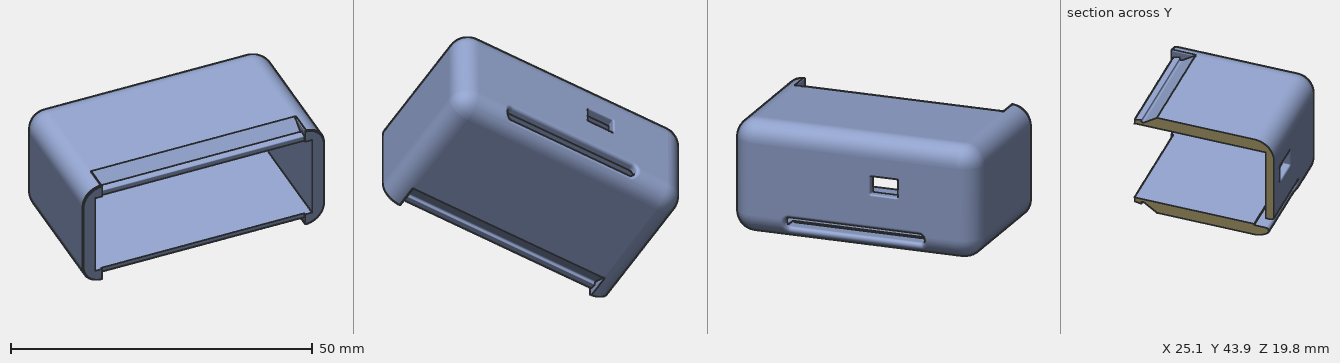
import cadquery as cq
import math

LENGTH_X = 25.1
WIDTH_Y = 43.85
HEIGHT_Z = 19.78
CORNER_RADIUS = 3.5
RIM_CHAMFER = 0.18

FRONT_WALL = 1.5
SIDE_WALL = 2.3

GROOVE_WIDTH_Y = 36.85
GROOVE_SIDE_RADIUS = 0.25
GROOVE_START_X = 20.75
RIDGE_X = 23.5
VALLEY_DEPTH = 1.9
VALLEY_RADIUS = 0.25
RIDGE_DEPTH = 1.15
RIDGE_RADIUS = 0.1
LIP_END_X = 24.75
LIP_END_DEPTH = 1.35
LIP_END_RADIUS = 0.18

WINDOW_Y = -5.35
WINDOW_Z = 11.4
WINDOW_WIDTH = 4.9
WINDOW_HEIGHT = 3.15
WINDOW_CORNER_RADIUS = 0.2
WINDOW_EDGE_RADIUS = 0.3

SLOT_Z = 2.95
SLOT_LENGTH = 24.9
SLOT_HEIGHT = 1.85
SLOT_EDGE_RADIUS = 0.6

CUT_MARGIN = 0.45
PICK_MARGIN = 0.05


def box_from_front(start_x, end_x, width, height):
    """Box between two X stations, centred on Y = 0 and on the middle of the body height."""
    return (
        cq.Workplane("XY")
        .box(end_x - start_x, width, height, centered=(False, True, True))
        .translate((start_x, 0, HEIGHT_Z / 2))
    )


def front_opening_plane(y, z):
    """Sketch plane on the front face, with local X along +Y and its normal along +X."""
    return cq.Workplane(cq.Plane(origin=(0, y, z), xDir=(0, 1, 0), normal=(1, 0, 0)))


def make_body():
    body = box_from_front(0, LENGTH_X, WIDTH_Y, HEIGHT_Z)
    body = body.edges("|X").fillet(CORNER_RADIUS)
    body = body.faces("<X").edges().fillet(CORNER_RADIUS)
    return body.faces(">X").edges().chamfer(RIM_CHAMFER)


def make_cavity():
    return box_from_front(
        FRONT_WALL, LENGTH_X + CUT_MARGIN, WIDTH_Y - 2 * SIDE_WALL, HEIGHT_Z - 2 * SIDE_WALL
    )


def make_top_groove():
    """Sloped groove, snap ridge and set-back lip, as a cutter along Y."""
    outline = [
        (GROOVE_START_X, HEIGHT_Z),
        (RIDGE_X, HEIGHT_Z - VALLEY_DEPTH),
        (RIDGE_X, HEIGHT_Z - RIDGE_DEPTH),
        (LIP_END_X, HEIGHT_Z - LIP_END_DEPTH),
        (LIP_END_X, HEIGHT_Z - SIDE_WALL - CUT_MARGIN),
        (LENGTH_X + CUT_MARGIN, HEIGHT_Z - SIDE_WALL - CUT_MARGIN),
        (LENGTH_X + CUT_MARGIN, HEIGHT_Z + CUT_MARGIN),
        (GROOVE_START_X, HEIGHT_Z + CUT_MARGIN),
    ]
    groove = cq.Workplane("XZ").polyline(outline).close().extrude(GROOVE_WIDTH_Y / 2, both=True)
    for x, depth, radius in (
        (RIDGE_X, VALLEY_DEPTH, VALLEY_RADIUS),
        (RIDGE_X, RIDGE_DEPTH, RIDGE_RADIUS),
        (LIP_END_X, LIP_END_DEPTH, LIP_END_RADIUS),
    ):
        corner = cq.selectors.NearestToPointSelector((x, 0, HEIGHT_Z - depth))
        groove = groove.edges("|Y").edges(corner).fillet(radius)
    return groove


def make_cheek_rounding(side):
    """Cutter that rounds the top edge between the groove and the cheek on the +Y (1) or -Y (-1) side."""
    wall_y = side * GROOVE_WIDTH_Y / 2
    top_y = wall_y + side * GROOVE_SIDE_RADIUS
    arc_offset = GROOVE_SIDE_RADIUS * (1 - math.sqrt(0.5))
    profile = (
        cq.Workplane("YZ", origin=(GROOVE_START_X, 0, 0))
        .moveTo(wall_y, HEIGHT_Z - GROOVE_SIDE_RADIUS)
        .threePointArc((wall_y + side * arc_offset, HEIGHT_Z - arc_offset), (top_y, HEIGHT_Z))
        .lineTo(top_y, HEIGHT_Z + CUT_MARGIN)
        .lineTo(wall_y, HEIGHT_Z + CUT_MARGIN)
        .close()
    )
    return profile.extrude(LENGTH_X + CUT_MARGIN - GROOVE_START_X)


def make_window():
    window = front_opening_plane(WINDOW_Y, WINDOW_Z).rect(WINDOW_WIDTH, WINDOW_HEIGHT)
    return window.extrude(FRONT_WALL + CUT_MARGIN).edges("|X").fillet(WINDOW_CORNER_RADIUS)


def make_slot():
    slot = front_opening_plane(0, SLOT_Z).slot2D(SLOT_LENGTH, SLOT_HEIGHT)
    return slot.extrude(CORNER_RADIUS)


def opening_edges(solid, width, height, y, z):
    """Edges where an opening of the given size meets the outer surface of the front wall."""
    half_width = width / 2 + PICK_MARGIN
    half_height = height / 2 + PICK_MARGIN
    selector = cq.selectors.BoxSelector(
        (-PICK_MARGIN, y - half_width, z - half_height),
        (FRONT_WALL, y + half_width, z + half_height),
        boundingbox=True,
    )
    return solid.edges(selector)


body = make_body()

body = body.cut(make_window())
body = opening_edges(body, WINDOW_WIDTH, WINDOW_HEIGHT, WINDOW_Y, WINDOW_Z).fillet(WINDOW_EDGE_RADIUS)
body = body.cut(make_slot())
body = opening_edges(body, SLOT_LENGTH, SLOT_HEIGHT, 0, SLOT_Z).fillet(SLOT_EDGE_RADIUS)

body = body.cut(make_cavity())

top_groove = make_top_groove()
for side in (-1, 1):
    top_groove = top_groove.union(make_cheek_rounding(side))
bottom_groove = top_groove.mirror("XY", (0, 0, HEIGHT_Z / 2))
result = body.cut(top_groove).cut(bottom_groove)